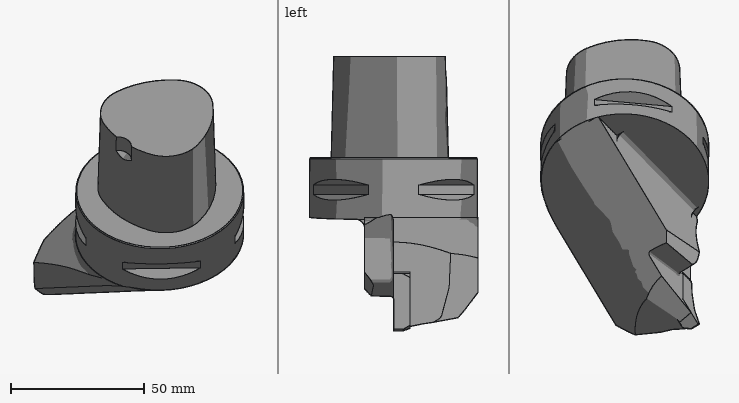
import cadquery as cq
import math

TIP_X = -45.0
TIP_Z = -65.0
CLEAR = 100.0
OVERLAP = 1.0

SHANK_HEIGHT = 38.0
LOBE_REACH = 23.4
FLAT_REACH = 20.6
JOINT_REACH = 22.13
JOINT_ANGLE = 26.1
TAPER_RATIO = 1 / 20

NOTCH_RADIUS = 5.2
NOTCH_FLOOR_Y = -17.7
NOTCH_DEPTH = 6.8
NOTCH_CONE_HEIGHT = 3.9

FLANGE_RADIUS = 31.5
FLANGE_CHAMFER = 0.4
FLANGE_BOTTOM_Z = -22.3
FLANGE_BOTTOM_SLOPE = 0.030

GRIP_Z = -12.0
GRIP_FLOOR = 27.9
GRIP_FLOOR_HALF = 1.7
GRIP_MOUTH_HALF = 3.9

NECK_RADIUS = 31.65
NECK_TOP_Z = -22.4
NECK_BOTTOM_Z = -23.2
NECK_FILLET = 4.5
CONE_ANGLE = 38.0

HEAD_TOP_Z = -21.4
UNDERSIDE_ANGLE = 34.1
TANGENT_X = 16.3
HEAD_BACK_Y = 10.9
BACK_FILLET = 3.3
BACK_FILLET_REACH = 26.5
BACK_FILLET_LENGTH = 45.0

END_X = -39.6
FACET_POINT = (END_X, -21.4, -36.0)
FACET_NORMAL = (-1, -0.44, -0.02)
LOWER_FACET_POINT = (-39.65, -20.5, -49.4)
LOWER_FACET_NORMAL = (-1, -0.455, -0.121)
BOTTOM_POINT = (-39.2, 0, -62.0)
BOTTOM_NORMAL = (0.25, 0.05, -1)
FRONT_BOTTOM_POINT = (-39.2, -9.0, -62.0)
FRONT_BOTTOM_NORMAL = (0.2, -0.1, -1)

INSERT_THICKNESS = 6.2
NOSE_SLOPE = 0.84
NOSE_TOP_Z = -50.1
NOSE_BEND = (-41.8, -58.7)
NOSE_TIP = (-44.6, -64.4)
NOSE_BEND_RADIUS = 6.0

RELIEF_TOP = (-31.6, -21.0)
RELIEF_MIDDLE = (-29.3, -31.0)
RELIEF_CORNER = (-33.6, -47.2)
RELIEF_BOTTOM_SLOPE = 0.24
RELIEF_CORNER_FILLET = 2.5
RELIEF_FOOT_FILLET = 1.3
RIB_BEVEL_POINT = (-32.5, HEAD_BACK_Y, -42.5)
RIB_BEVEL_NORMAL = (-0.22, 1, -0.7)

INSERT_TOP = (-40.3, -43.4)
INSERT_SHOULDER = (-40.6, -50.1)
INSERT_BEND = (-42.1, -58.6)
INSERT_BEND_RADIUS = 9.0
INSERT_BACK_X = -35.0
INSERT_LOWER_ANGLE = 33.4
TIP_FLAT = 0.8
TOP_GAP = 0.5
BEVEL_START_Y = -3.4
TIP_BEVEL_NORMAL = (-0.55, -0.64, -0.83)
TOP_BEVEL_NORMAL = (-0.3, -0.5, 0.95)


def beyond(point, normal):
    """Large block filling the outer side of a plane."""
    plane = cq.Plane(origin=point, normal=normal)
    return cq.Workplane(plane).rect(2 * CLEAR, 2 * CLEAR).extrude(CLEAR)


def polar(reach, degrees):
    angle = math.radians(degrees)
    return (reach * math.cos(angle), reach * math.sin(angle))


def shank_outline(height):
    """Three lobe arcs and three flatter arcs, with one lobe toward +Y."""
    inset = height * TAPER_RATIO / 2
    joint = JOINT_REACH - inset
    outline = cq.Workplane("XY", origin=(0, 0, height)).moveTo(*polar(joint, 90 - JOINT_ANGLE))
    for lobe in (90, 210, 330):
        outline = outline.threePointArc(polar(LOBE_REACH - inset, lobe), polar(joint, lobe + JOINT_ANGLE))
        outline = outline.threePointArc(
            polar(FLAT_REACH - inset, lobe + 60), polar(joint, lobe + 120 - JOINT_ANGLE)
        )
    return outline.close().wire().val()


def make_shank():
    sections = [shank_outline(0), shank_outline(SHANK_HEIGHT)]
    shank = cq.Workplane(cq.Solid.makeLoft(sections, True))
    notch_bottom = SHANK_HEIGHT - NOTCH_DEPTH
    notch = (
        cq.Workplane("XZ")
        .polyline([
            (0, SHANK_HEIGHT + OVERLAP),
            (NOTCH_RADIUS, SHANK_HEIGHT + OVERLAP),
            (NOTCH_RADIUS, notch_bottom),
            (0, notch_bottom - NOTCH_CONE_HEIGHT),
        ])
        .close()
        .revolve(360, (0, 0, 0), (0, 1, 0))
        .translate((0, NOTCH_FLOOR_Y - NOTCH_RADIUS, 0))
    )
    return shank.cut(notch)


def make_flange():
    flange = (
        cq.Workplane("XY").circle(FLANGE_RADIUS).extrude(-CLEAR)
        .faces(">Z").chamfer(FLANGE_CHAMFER)
        .cut(beyond((0, 0, FLANGE_BOTTOM_Z), (FLANGE_BOTTOM_SLOPE, 0, -1)))
    )
    mouth_slope = (GRIP_MOUTH_HALF - GRIP_FLOOR_HALF) / (FLANGE_RADIUS - GRIP_FLOOR)
    outer = FLANGE_RADIUS + OVERLAP
    outer_half = GRIP_MOUTH_HALF + mouth_slope * OVERLAP
    groove = (
        cq.Workplane("XZ")
        .polyline([
            (GRIP_FLOOR, GRIP_Z - GRIP_FLOOR_HALF),
            (outer, GRIP_Z - outer_half),
            (outer, GRIP_Z + outer_half),
            (GRIP_FLOOR, GRIP_Z + GRIP_FLOOR_HALF),
        ])
        .close()
        .extrude(FLANGE_RADIUS, both=True)
    )
    for angle in (45, 135, 225, 315):
        flange = flange.cut(groove.rotate((0, 0, 0), (0, 0, 1), angle))
    return flange


def turned_envelope():
    """Neck, fillet and cone that bound the head from above."""
    turn = math.radians(90 - CONE_ANGLE)
    fillet_x = NECK_RADIUS + NECK_FILLET
    end = (fillet_x - NECK_FILLET * math.cos(turn), NECK_BOTTOM_Z - NECK_FILLET * math.sin(turn))
    mid = (fillet_x - NECK_FILLET * math.cos(turn / 2), NECK_BOTTOM_Z - NECK_FILLET * math.sin(turn / 2))
    rim = (CLEAR, end[1] - (CLEAR - end[0]) * math.tan(math.radians(CONE_ANGLE)))
    envelope = (
        cq.Workplane("XZ")
        .moveTo(0, HEAD_TOP_Z + OVERLAP)
        .lineTo(FLANGE_RADIUS, HEAD_TOP_Z + OVERLAP)
        .lineTo(FLANGE_RADIUS, NECK_TOP_Z)
        .lineTo(NECK_RADIUS, NECK_TOP_Z)
        .lineTo(NECK_RADIUS, NECK_BOTTOM_Z)
        .threePointArc(mid, end)
        .lineTo(*rim)
        .lineTo(CLEAR, -CLEAR)
        .lineTo(0, -CLEAR)
        .close()
        .revolve(360, (0, 0, 0), (0, 1, 0))
    )
    ring = (
        cq.Workplane("XY", origin=(0, 0, -CLEAR))
        .circle(CLEAR).circle(NECK_RADIUS).extrude(CLEAR)
        .cut(beyond((0, 0, 0), (-1, 0, 0)))
    )
    return envelope.cut(ring)


def slanted_bar():
    """Flange circle with a flat front and back, swept down and toward -X."""
    tangent_y = -math.sqrt(FLANGE_RADIUS**2 - TANGENT_X**2)
    front_x = TANGENT_X + (tangent_y + NECK_RADIUS) * tangent_y / TANGENT_X
    back_x = math.sqrt(FLANGE_RADIUS**2 - HEAD_BACK_Y**2)
    outline = (
        cq.Workplane("XY", origin=(0, 0, HEAD_TOP_Z))
        .moveTo(-CLEAR, -NECK_RADIUS)
        .lineTo(front_x, -NECK_RADIUS)
        .lineTo(TANGENT_X, tangent_y)
        .threePointArc((FLANGE_RADIUS, 0), (back_x, HEAD_BACK_Y))
        .lineTo(-CLEAR, HEAD_BACK_Y)
        .close()
        .wire().val()
    )
    drop = CLEAR * math.tan(math.radians(UNDERSIDE_ANGLE))
    return cq.Workplane(cq.Solid.extrudeLinear(outline, [], cq.Vector(-CLEAR, 0, -drop)))


def nose_cutter():
    """Space in front of the end face and the concave nose, running down toward -Y."""
    start_y = OVERLAP
    rise = (start_y + INSERT_THICKNESS) * NOSE_SLOPE
    outline = (
        cq.Workplane("XZ", origin=(0, start_y, rise))
        .polyline([
            (END_X, CLEAR),
            (END_X, NOSE_TOP_Z),
            NOSE_BEND,
            NOSE_TIP,
            (NOSE_TIP[0], -CLEAR),
            (-CLEAR, -CLEAR),
            (-CLEAR, CLEAR),
        ])
        .close()
        .wire().val()
    )
    sweep = cq.Vector(0, -CLEAR, -CLEAR * NOSE_SLOPE)
    cutter = cq.Workplane(cq.Solid.extrudeLinear(outline, [], sweep))
    middle_y = start_y - CLEAR / 2
    middle_shift = rise - CLEAR / 2 * NOSE_SLOPE
    for x, z in ((END_X, NOSE_TOP_Z), NOSE_BEND):
        bend = cq.selectors.NearestToPointSelector((x, middle_y, z + middle_shift))
        cutter = cutter.edges(bend).fillet(NOSE_BEND_RADIUS)
    return cutter


def relief_cutter():
    """Chip space behind the cutting face: hollow front, rounded corner and rising underside."""
    far_x = CLEAR / 2
    far_z = RELIEF_CORNER[1] - (far_x - RELIEF_CORNER[0]) * RELIEF_BOTTOM_SLOPE
    return (
        cq.Workplane("XZ")
        .moveTo(-CLEAR, RELIEF_TOP[1])
        .lineTo(*RELIEF_TOP)
        .threePointArc(RELIEF_MIDDLE, RELIEF_CORNER)
        .lineTo(far_x, far_z)
        .lineTo(far_x, -CLEAR)
        .lineTo(-CLEAR, -CLEAR)
        .close()
        .extrude(-CLEAR)
        .edges(cq.selectors.NearestToPointSelector((RELIEF_CORNER[0], CLEAR / 2, RELIEF_CORNER[1])))
        .fillet(RELIEF_CORNER_FILLET)
        .edges(cq.selectors.NearestToPointSelector((RELIEF_MIDDLE[0], 0, RELIEF_MIDDLE[1])))
        .fillet(RELIEF_FOOT_FILLET)
    )


def back_fillet():
    """Concave fillet strip between the back of the head and the flange."""
    start_x = -BACK_FILLET_REACH
    corner_z = FLANGE_BOTTOM_Z + start_x * FLANGE_BOTTOM_SLOPE
    outline = (
        cq.Workplane("YZ", origin=(start_x, 0, 0))
        .moveTo(HEAD_BACK_Y, corner_z + OVERLAP)
        .lineTo(HEAD_BACK_Y + BACK_FILLET, corner_z + OVERLAP)
        .lineTo(HEAD_BACK_Y + BACK_FILLET, corner_z)
        .radiusArc((HEAD_BACK_Y, corner_z - BACK_FILLET), -BACK_FILLET)
        .close()
        .wire().val()
    )
    sweep = cq.Vector(BACK_FILLET_LENGTH, 0, BACK_FILLET_LENGTH * FLANGE_BOTTOM_SLOPE)
    return cq.Workplane(cq.Solid.extrudeLinear(outline, [], sweep))


def lower_edge_z(x):
    """Height of the lower insert edge."""
    tip_x = TIP_X + TIP_FLAT
    return TIP_Z + (x - tip_x) * math.tan(math.radians(INSERT_LOWER_ANGLE))


def make_pocket():
    return (
        cq.Workplane("XZ")
        .polyline([
            (-CLEAR, INSERT_TOP[1] + TOP_GAP),
            (INSERT_BACK_X, INSERT_TOP[1] + TOP_GAP),
            (INSERT_BACK_X, lower_edge_z(INSERT_BACK_X)),
            (-CLEAR, lower_edge_z(-CLEAR)),
        ])
        .close()
        .extrude(INSERT_THICKNESS)
    )


def make_holder():
    head = turned_envelope().intersect(slanted_bar())
    head = head.cut(beyond(FACET_POINT, FACET_NORMAL))
    head = head.cut(beyond(LOWER_FACET_POINT, LOWER_FACET_NORMAL))
    head = head.cut(beyond(BOTTOM_POINT, BOTTOM_NORMAL))
    head = head.cut(beyond(FRONT_BOTTOM_POINT, FRONT_BOTTOM_NORMAL))
    head = head.cut(nose_cutter())
    relief_side = beyond((0, 0, 0), (0, 1, 0))
    head = head.union(back_fillet())
    head = head.cut(beyond(RIB_BEVEL_POINT, RIB_BEVEL_NORMAL).intersect(relief_side))
    holder = make_shank().union(make_flange()).union(head)
    holder = holder.cut(relief_cutter())
    return holder.cut(make_pocket())


def make_insert():
    insert = (
        cq.Workplane("XZ")
        .polyline([
            INSERT_TOP,
            INSERT_SHOULDER,
            INSERT_BEND,
            (TIP_X, TIP_Z + TIP_FLAT),
            (TIP_X + TIP_FLAT, TIP_Z),
            (INSERT_BACK_X, lower_edge_z(INSERT_BACK_X)),
            (INSERT_BACK_X, INSERT_TOP[1]),
        ])
        .close()
        .extrude(INSERT_THICKNESS)
    )
    for x, z in (INSERT_SHOULDER, INSERT_BEND):
        bend = cq.selectors.NearestToPointSelector((x, -INSERT_THICKNESS / 2, z))
        insert = insert.edges(bend).fillet(INSERT_BEND_RADIUS)
    insert = insert.cut(beyond((TIP_X + TIP_FLAT, BEVEL_START_Y, TIP_Z), TIP_BEVEL_NORMAL))
    return insert.cut(beyond((INSERT_TOP[0], BEVEL_START_Y, INSERT_TOP[1]), TOP_BEVEL_NORMAL))


holder = make_holder()
insert = make_insert()
result = cq.Compound.makeCompound([holder.val(), insert.val()])